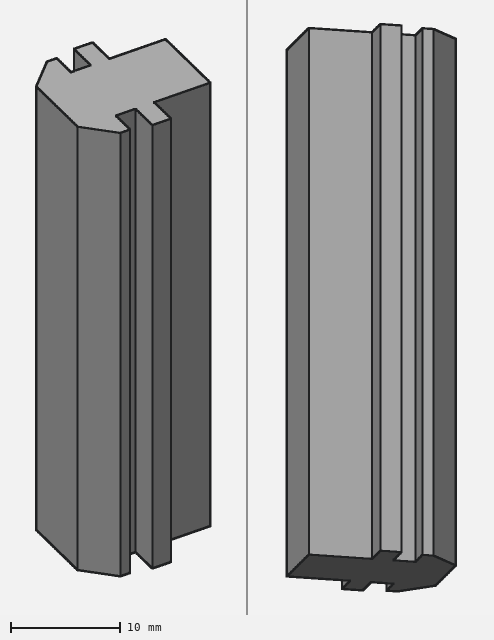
import cadquery as cq

length = 50.0
depth = 14.0

stem_width = 8.0
fin_width = 14.0
head_width = 13.1

head_height = 3.9
head_chamfer = 2.85
groove_height = 2.1
fin_height = 2.0


def centred_bar(width, y_start, height):
    """Full-length rectangular bar, centred on X, rising in Y from y_start."""
    bar = cq.Workplane("XY").box(width, height, length, centered=(True, False, False))
    return bar.translate((0, y_start, 0))


stem = centred_bar(stem_width, head_height, depth - head_height)

head = centred_bar(head_width, 0, head_height).edges("|Z and <Y").chamfer(head_chamfer)

fins = centred_bar(fin_width, head_height + groove_height, fin_height)

result = stem.union(head).union(fins)